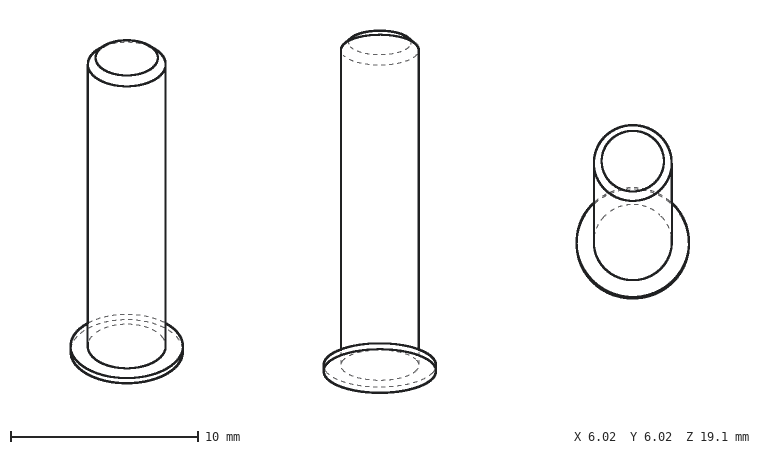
import cadquery as cq

total_length = 19.05
shank_diameter = 4.17
head_diameter = 6.02
head_thickness = 0.35
tip_chamfer = 0.42

head = cq.Workplane("XY").circle(head_diameter / 2).extrude(head_thickness)

shank = (
    cq.Workplane("XY")
    .circle(shank_diameter / 2)
    .extrude(total_length)
    .faces(">Z")
    .chamfer(tip_chamfer)
)

result = head.union(shank)